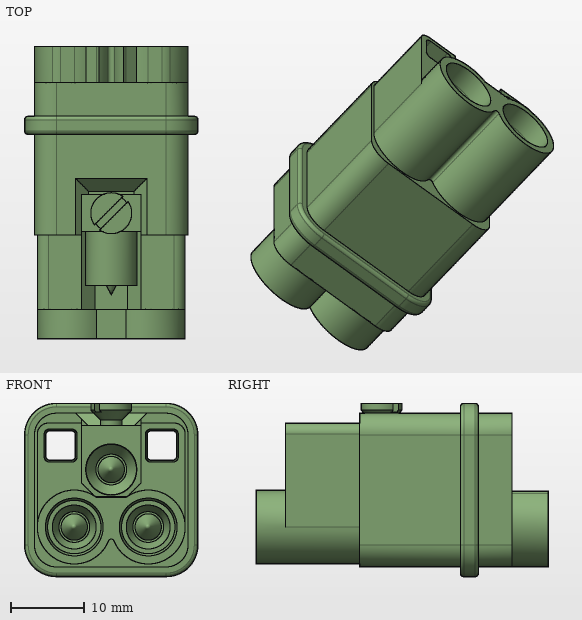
import cadquery as cq
import math

FACE_Y = 4.0
BODY_FRONT_Y = 14.15
FLANGE_Y = 27.9
FLANGE_THICKNESS = 2.5
BODY_BACK_Y = 35.0
LENGTH = 39.95

BODY_SIZE = 21.0
BODY_CORNER = 3.0
FLANGE_SIZE = 23.7
FLANGE_CORNER = BODY_CORNER + (FLANGE_SIZE - BODY_SIZE) / 2
FLANGE_EDGE = 0.5
BODY_TOP = BODY_SIZE / 2

CONTACT_X = 5.05
CONTACT_Z = -5.05
LOBE_R = 5.05
LOBE_GROOVE_R = 0.4
SHROUD_HALF_WIDTH = CONTACT_X + LOBE_R
SHROUD_TOP = 9.15
SHROUD_CORNER = 1.5
WEB_TOP = -1.0

REAR_BIG_R = BODY_TOP - CONTACT_X
REAR_SMALL_R = 4.9
REAR_CORNER_R = 2.0
REAR_GROOVE_R = 0.5
NOTCH_OUTER_X = 3.45
NOTCH_INNER_X = 1.65
NOTCH_DEEP_Z = -3.2
NOTCH_KNEE_X = 2.0
NOTCH_KNEE_Z = -2.0

WINDOW_X = 6.92
WINDOW_Z = 6.08
WINDOW_FRONT = 4.54
WINDOW_BACK = 4.0
WINDOW_CORNER = 0.8

POCKET_HALF_WIDTH = 4.05
POCKET_FLOOR = -0.85
POCKET_CHAMFER = 1.8
RECESS_HALF_WIDTH = 4.86
RECESS_DEPTH = 1.75
RECESS_BACK_Y = 21.9
RECESS_SLOPE = 45

BLOCK_FRONT_Y = 14.65
BLOCK_BACK_Y = 19.7
BLOCK_TOP = 8.85
UPPER_CONTACT_R = 3.5
UPPER_CONTACT_Z = 2.8
UPPER_CONTACT_Y = 7.25
SCREW_Y = 17.15
SCREW_TOP = FLANGE_SIZE / 2
SCREW_R = 2.8
SHANK_R = 1.5
HEAD_RIM = 0.95
SLOT_WIDTH = 1.0
SLOT_DEPTH = 1.2
SLOT_ANGLE = 45

CUP_DEPTH = 2.15
CUP_FLOOR_R = 2.1
SPIKE_R = 1.8
SPIKE_LENGTH = 3.4
UPPER_CUP_R = 3.45
LOWER_CUP_R = 3.0
BORE_FRONT_R = 3.95
BORE_BACK_R = 3.65
BORE_TAPER_Y = 3.0
BORE_DEPTH = 4.0


def section(y):
    """Sketch plane across the plug at station y, with X right, Z up and +Y as positive depth."""
    return cq.Workplane(cq.Plane(origin=(0, y, 0), xDir=(1, 0, 0), normal=(0, -1, 0)))


def prism(sketch, length):
    return sketch.extrude(-length)


def box(half_width, y_range, z_range):
    size = (2 * half_width, y_range[1] - y_range[0], z_range[1] - z_range[0])
    return cq.Workplane("XY").box(*size, centered=(True, False, False)).translate((0, y_range[0], z_range[0]))


def rounded_block(size, corner, y, length):
    return prism(section(y).rect(size, size), length).edges("|Y").fillet(corner)


def turned(points, x, z):
    """Body of revolution about a line parallel to Y; points are (radius, y)."""
    solid = cq.Workplane("XY").polyline(points).close().revolve(360, (0, 0, 0), (0, 1, 0))
    return solid.translate((x, 0, z))


def make_body():
    body = rounded_block(BODY_SIZE, BODY_CORNER, BODY_FRONT_Y, BODY_BACK_Y - BODY_FRONT_Y)
    flange = rounded_block(FLANGE_SIZE, FLANGE_CORNER, FLANGE_Y, FLANGE_THICKNESS)
    return body.union(flange.faces("<Y or >Y").edges().fillet(FLANGE_EDGE))


def close_under_lobes(sketch):
    """Finish an outline from the right end of the lobe axis, round under both lobes, to the left end."""
    reach = LOBE_R + LOBE_GROOVE_R
    groove_z = CONTACT_Z - math.sqrt(reach**2 - CONTACT_X**2)
    touch_x = CONTACT_X * LOBE_GROOVE_R / reach
    touch_z = groove_z + (CONTACT_Z - groove_z) * LOBE_GROOVE_R / reach
    lobe_bottom = CONTACT_Z - LOBE_R
    return (
        sketch.threePointArc((CONTACT_X, lobe_bottom), (touch_x, touch_z))
        .threePointArc((0, groove_z + LOBE_GROOVE_R), (-touch_x, touch_z))
        .threePointArc((-CONTACT_X, lobe_bottom), (-SHROUD_HALF_WIDTH, CONTACT_Z))
    )


def make_shroud():
    """Twin-lobe nose joined by a flat web, followed by a taller box over the same lobes."""
    web_half_width = CONTACT_X - math.sqrt(LOBE_R**2 - (WEB_TOP - CONTACT_Z) ** 2)
    lobe_top = CONTACT_Z + LOBE_R
    nose = (
        section(0)
        .moveTo(-SHROUD_HALF_WIDTH, CONTACT_Z)
        .threePointArc((-CONTACT_X, lobe_top), (-web_half_width, WEB_TOP))
        .lineTo(web_half_width, WEB_TOP)
        .threePointArc((CONTACT_X, lobe_top), (SHROUD_HALF_WIDTH, CONTACT_Z))
    )
    nose = prism(close_under_lobes(nose).close(), FACE_Y)

    housing = (
        section(FACE_Y)
        .moveTo(-SHROUD_HALF_WIDTH, CONTACT_Z)
        .lineTo(-SHROUD_HALF_WIDTH, SHROUD_TOP)
        .lineTo(SHROUD_HALF_WIDTH, SHROUD_TOP)
        .lineTo(SHROUD_HALF_WIDTH, CONTACT_Z)
    )
    housing = prism(close_under_lobes(housing).close(), BODY_FRONT_Y - FACE_Y)
    corners = cq.selectors.BoxSelector(
        (-BODY_SIZE, FACE_Y, SHROUD_TOP - SHROUD_CORNER), (BODY_SIZE, BODY_FRONT_Y, BODY_TOP))
    return nose.union(housing.edges("|Y").edges(corners).fillet(SHROUD_CORNER))


def make_rear_lobe():
    """Right-hand half of the rear end, from the groove on the centre plane round to its underside."""
    def on_small(x):
        return (x, CONTACT_Z + math.sqrt(REAR_SMALL_R**2 - (CONTACT_X - x) ** 2))

    def on_big(angle):
        return (CONTACT_X + REAR_BIG_R * math.cos(angle), CONTACT_Z + REAR_BIG_R * math.sin(angle))

    top = CONTACT_Z + REAR_SMALL_R

    reach = REAR_SMALL_R + REAR_GROOVE_R
    groove_z = CONTACT_Z + math.sqrt(reach**2 - CONTACT_X**2)
    touch_x = CONTACT_X * REAR_GROOVE_R / reach
    groove_angle = math.asin(CONTACT_X / reach) / 2
    groove_mid = (REAR_GROOVE_R * math.sin(groove_angle), groove_z - REAR_GROOVE_R * math.cos(groove_angle))

    corner_z = top - REAR_CORNER_R
    corner_angle = math.asin((corner_z - CONTACT_Z) / (REAR_BIG_R - REAR_CORNER_R))
    corner_x = CONTACT_X + (REAR_BIG_R - REAR_CORNER_R) * math.cos(corner_angle)
    mid_angle = (corner_angle + math.pi / 2) / 2
    corner_mid = (
        corner_x + REAR_CORNER_R * math.cos(mid_angle),
        corner_z + REAR_CORNER_R * math.sin(mid_angle),
    )
    low_angle = -math.acos(-CONTACT_X / REAR_BIG_R)

    outline = (
        section(BODY_BACK_Y)
        .moveTo(0, groove_z - REAR_GROOVE_R)
        .threePointArc(groove_mid, on_small(touch_x))
        .threePointArc(on_small((touch_x + NOTCH_INNER_X) / 2), on_small(NOTCH_INNER_X))
        .lineTo(NOTCH_KNEE_X, NOTCH_KNEE_Z)
        .lineTo(NOTCH_OUTER_X, NOTCH_DEEP_Z)
        .lineTo(*on_small(NOTCH_OUTER_X))
        .threePointArc(on_small((NOTCH_OUTER_X + CONTACT_X) / 2), (CONTACT_X, top))
        .lineTo(corner_x, top)
        .threePointArc(corner_mid, on_big(corner_angle))
        .threePointArc(on_big((corner_angle + low_angle) / 2), on_big(low_angle))
        .close()
    )
    return prism(outline, LENGTH - BODY_BACK_Y)


def make_windows():
    length = BODY_BACK_Y - FACE_Y
    draft = math.degrees(math.atan((WINDOW_FRONT - WINDOW_BACK) / 2 / length))
    sketch = cq.Sketch().rect(WINDOW_FRONT, WINDOW_FRONT).vertices().fillet(WINDOW_CORNER)
    inward = cq.Plane(origin=(0, FACE_Y, 0), xDir=(-1, 0, 0), normal=(0, 1, 0))
    windows = cq.Workplane(inward).placeSketch(sketch).extrude(length, taper=draft)
    return [windows.translate((side * WINDOW_X, 0, WINDOW_Z)) for side in (-1, 1)]


def make_pocket():
    pocket = box(POCKET_HALF_WIDTH, (FACE_Y, BLOCK_FRONT_Y), (POCKET_FLOOR, BODY_TOP))
    pocket = pocket.edges("|Y and <Z").chamfer(POCKET_CHAMFER)
    return pocket.union(box(POCKET_HALF_WIDTH, (BLOCK_FRONT_Y, BLOCK_BACK_Y), (BLOCK_TOP, BODY_TOP)))


def make_recess():
    """Recess round the screw, its sides and back sloping and its front open."""
    slope_width = RECESS_DEPTH * math.tan(math.radians(RECESS_SLOPE))
    length = RECESS_BACK_Y - BODY_FRONT_Y + slope_width
    return (
        cq.Workplane("XY", origin=(0, RECESS_BACK_Y - length / 2, BODY_TOP))
        .rect(2 * RECESS_HALF_WIDTH, length)
        .extrude(-RECESS_DEPTH, taper=RECESS_SLOPE)
    )


def add_cup(part, x, z, y, cup_r):
    """Sink a conical contact cup with a flat floor and stand a pointed spike in it."""
    floor_y = y + CUP_DEPTH
    cup = turned([(0, y), (cup_r, y), (CUP_FLOOR_R, floor_y), (0, floor_y)], x, z)
    spike = turned([(0, floor_y - SPIKE_LENGTH), (SPIKE_R, floor_y), (0, floor_y)], x, z)
    return part.cut(cup).union(spike)


def make_terminal():
    """Terminal block filling the back of the pocket, with the upper contact reaching forward from it."""
    block = box(POCKET_HALF_WIDTH, (BLOCK_FRONT_Y, BLOCK_BACK_Y), (POCKET_FLOOR, BLOCK_TOP))
    barrel_length = BLOCK_FRONT_Y - UPPER_CONTACT_Y
    barrel = section(UPPER_CONTACT_Y).center(0, UPPER_CONTACT_Z).circle(UPPER_CONTACT_R)
    return block.union(prism(barrel, barrel_length))


def add_lower_contact(part, x):
    """Sink a bore, tapered at its end, into a front lobe, with a contact cup at its floor."""
    bore_profile = [
        (0, 0),
        (BORE_FRONT_R, 0),
        (BORE_FRONT_R, BORE_TAPER_Y),
        (BORE_BACK_R, BORE_DEPTH),
        (0, BORE_DEPTH),
    ]
    part = part.cut(turned(bore_profile, x, CONTACT_Z))
    return add_cup(part, x, CONTACT_Z, BORE_DEPTH, LOWER_CUP_R)


def make_screw():
    rim_z = SCREW_TOP - HEAD_RIM
    neck_z = rim_z - (SCREW_R - SHANK_R)
    screw = (
        cq.Workplane("XZ")
        .polyline([(0, BLOCK_TOP), (SHANK_R, BLOCK_TOP), (SHANK_R, neck_z), (SCREW_R, rim_z),
                   (SCREW_R, SCREW_TOP), (0, SCREW_TOP)])
        .close()
        .revolve(360, (0, 0, 0), (0, 1, 0))
    )
    slot = cq.Workplane("XY", origin=(0, 0, SCREW_TOP)).rect(3 * SCREW_R, SLOT_WIDTH).extrude(-SLOT_DEPTH)
    slot = slot.rotate((0, 0, 0), (0, 0, 1), SLOT_ANGLE)
    return screw.cut(slot).translate((0, SCREW_Y, 0))


rear_lobe = make_rear_lobe()
result = make_body().union(make_shroud()).union(rear_lobe).union(rear_lobe.mirror("YZ"))
for window in make_windows():
    result = result.cut(window)
result = result.cut(make_recess()).cut(make_pocket())

result = result.union(make_terminal()).union(make_screw())
result = add_cup(result, 0, UPPER_CONTACT_Z, UPPER_CONTACT_Y, UPPER_CUP_R)
for contact_x in (-CONTACT_X, CONTACT_X):
    result = add_lower_contact(result, contact_x)